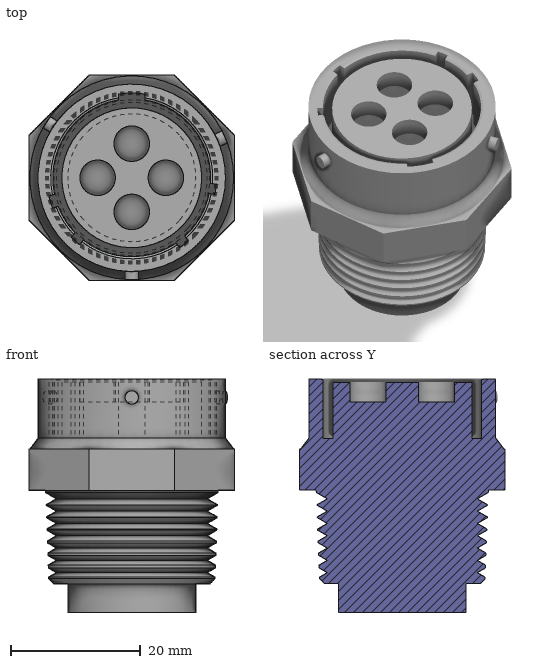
import cadquery as cq
import math

total_height = 36.05
thread_bottom = 4.45
octagon_bottom = 18.85
octagon_top = 25.28
shell_bottom = 26.95

octagon_sides = 8
octagon_width = 31.75
spigot_radius = 9.88
shell_radius = 14.45
cone_foot_radius = 15.72

groove_count = 7
groove_root_radius = 11.65
first_groove_level = 17.55
last_groove_level = 6.15
groove_pitch = (first_groove_level - last_groove_level) / (groove_count - 1)
groove_half_angle = 30.0
groove_mouth_radius = 13.52
blank_top_radius = 13.35
blank_bottom_radius = 12.85
blank_chamfer = 0.8

recess_radius = 12.2
recess_floor = shell_bottom
rim_chamfer_width = 0.32
rim_chamfer_depth = 0.15
insert_radius = 10.78
insert_setback = 0.5
insert_top = total_height - insert_setback

contact_count = 4
contact_radius = 2.75
contact_circle_radius = 5.25
contact_depth = 3.03

keyway_radius = 13.1
keyways = [(90.0, 4.07), (196.7, 1.95), (228.2, 1.73), (308.2, 1.7), (352.2, 1.6)]

pin_diameter = 2.05
pin_root_radius = 13.8
pin_tip_radius = 15.7
pin_level = 33.2
pin_angles = [23.7, 146.8, 270.0]


def cylinder(radius, bottom, top):
    return cq.Workplane("XY").workplane(offset=bottom).circle(radius).extrude(top - bottom)


def revolved(points):
    """Turn a closed (radius, z) outline around the Z axis."""
    return cq.Workplane("XZ").polyline(points).close().revolve(360, (0, 0, 0), (0, 1, 0))


def octagon_collar():
    corner_circle_diameter = octagon_width / math.cos(math.pi / octagon_sides)
    return (
        cq.Workplane("XY")
        .workplane(offset=octagon_bottom)
        .transformed(rotate=(0, 0, 180 / octagon_sides))
        .polygon(octagon_sides, corner_circle_diameter)
        .extrude(octagon_top - octagon_bottom)
    )


def shell():
    """Cylindrical shell, still solid, on its conical foot."""
    return revolved([
        (0, octagon_top),
        (cone_foot_radius, octagon_top),
        (shell_radius, shell_bottom),
        (shell_radius, total_height),
        (0, total_height),
    ])


def threaded_barrel():
    barrel = revolved([
        (0, thread_bottom),
        (blank_bottom_radius - blank_chamfer, thread_bottom),
        (blank_bottom_radius, thread_bottom + blank_chamfer),
        (blank_top_radius, octagon_bottom),
        (0, octagon_bottom),
    ])
    groove_depth = groove_mouth_radius - groove_root_radius
    half_mouth = groove_depth * math.tan(math.radians(groove_half_angle))
    for i in range(groove_count):
        level = first_groove_level - i * groove_pitch
        barrel = barrel.cut(revolved([
            (groove_root_radius, level),
            (groove_mouth_radius, level - half_mouth),
            (groove_mouth_radius, level + half_mouth),
        ]))
    return barrel


def recess():
    """Ring-shaped recess with its chamfered mouth, keyways and sunken insert face."""
    space = revolved([
        (0, recess_floor),
        (recess_radius, recess_floor),
        (recess_radius, total_height - rim_chamfer_depth),
        (recess_radius + rim_chamfer_width, total_height),
        (0, total_height),
    ])
    depth = total_height - recess_floor
    keyway_limit = cylinder(keyway_radius, recess_floor, total_height)
    for angle, width in keyways:
        bar = (
            cq.Workplane("XY")
            .box(shell_radius, width, depth, centered=(False, True, False))
            .translate((0, 0, recess_floor))
            .rotate((0, 0, 0), (0, 0, 1), angle)
        )
        space = space.union(bar.intersect(keyway_limit))
    return space.cut(cylinder(insert_radius, recess_floor, insert_top))


def contact_holes():
    return (
        cq.Workplane("XY")
        .workplane(offset=insert_top)
        .polarArray(contact_circle_radius, 0, 360, contact_count)
        .circle(contact_radius)
        .extrude(-contact_depth)
    )


def bayonet_pin(angle):
    return (
        cq.Workplane("YZ")
        .workplane(offset=pin_root_radius)
        .center(0, pin_level)
        .circle(pin_diameter / 2)
        .extrude(pin_tip_radius - pin_root_radius)
        .rotate((0, 0, 0), (0, 0, 1), angle)
    )


spigot = cylinder(spigot_radius, 0, octagon_bottom)
result = spigot.union(threaded_barrel()).union(octagon_collar()).union(shell())
for pin_angle in pin_angles:
    result = result.union(bayonet_pin(pin_angle))
result = result.cut(recess()).cut(contact_holes())